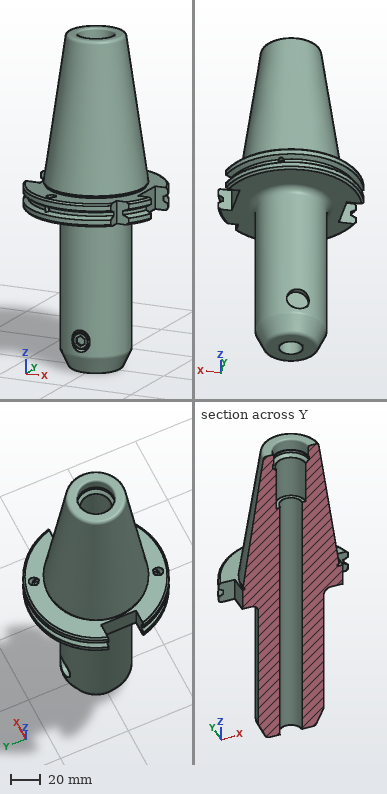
import cadquery as cq
import math


GAUGE_RADIUS = 69.85 / 2
TAPER_LENGTH = 101.75
TAPER_SLOPE = 7 / 24 / 2
TAPER_TOP_RADIUS = GAUGE_RADIUS - TAPER_LENGTH * TAPER_SLOPE
TAPER_TOP_FILLET = 2.5
TAPER_BOTTOM_Z = -1.3
NECK_RADIUS = GAUGE_RADIUS - 1.0

FLANGE_RADIUS = 97.5 / 2
FLANGE_TOP_Z = -3.2
FLANGE_BOTTOM_Z = -19.1
FLANGE_TOP_CHAMFER = 1.3
FLANGE_BOTTOM_CHAMFER = 1.5
GROOVE_Z = -11.1
GROOVE_FLOOR_RADIUS = 45.4
GROOVE_FLOOR_WIDTH = 2.5
GROOVE_FLANK_ANGLE = math.radians(30)

SLOT_WIDTH = 25.7
LEFT_SLOT_DISTANCE = 35.3
RIGHT_SLOT_DISTANCE = 37.7
NOTCH_DISTANCE = 29.7

NOSE_RADIUS = 24.0
NOSE_BOTTOM_Z = -130.0
NOSE_ROOT_FILLET = 5.0
NOSE_CONE_HEIGHT = 13.0
NOSE_CONE_TOP_Z = NOSE_BOTTOM_Z + NOSE_CONE_HEIGHT
NOSE_CONE_ANGLE = math.radians(25.5)
NOSE_TIP_RADIUS = NOSE_RADIUS - NOSE_CONE_HEIGHT * math.tan(NOSE_CONE_ANGLE)
NOSE_FILLET = 3.0

TOOL_BORE_RADIUS = 8.0
THREAD_RADIUS = 10.6
THREAD_DEPTH = 45.0
COUNTERBORE_RADIUS = 12.5
COUNTERBORE_DEPTH = 9.1
RELIEF_RADIUS = 13.0
RELIEF_BOTTOM_DEPTH = 11.4
MOUTH_FILLET = 1.4

SCREW_HEIGHT = 24.0
SCREW_Z = NOSE_BOTTOM_Z + SCREW_HEIGHT
SCREW_RADIUS = 6.0
SCREW_CHAMFER = 0.8
SCREW_FACE_DISTANCE = 23.8
SCREW_END_DISTANCE = 10.0
COUNTERSINK_RADIUS = 7.6
SCREW_HEX_WIDTH = 6.0
SCREW_HEX_DEPTH = 3.0
BALANCE_BORE_DEPTH = 4.0

PORT_PITCH_RADIUS = 41.7
PORT_ANGLES = (70.0, 250.0)
PORT_TILT = 30.0
PORT_RADIUS = 3.0
PORT_DEPTH = 3.0
CHANNEL_RADIUS = 1.5
CHANNEL_DEPTH = 8.0
CROSS_HOLE_RADIUS = 2.0
CROSS_HOLE_DEPTH = 3.0

AXIS_START = (0, 0, 0)
AXIS_END = (0, 1, 0)


def revolve(profile):
    """Close an (r, z) profile and turn it once around Z."""
    return profile.close().revolve(360, AXIS_START, AXIS_END)


def fillet_rim(solid, z, radius):
    """Round the circular edge that is centred on the axis at height z."""
    slab = 0.01
    rim = cq.selectors.BoxSelector((-slab, -slab, z - slab), (slab, slab, z + slab))
    return solid.edges(rim).fillet(radius)


def taper():
    base_radius = GAUGE_RADIUS - TAPER_BOTTOM_Z * TAPER_SLOPE
    profile = (
        cq.Workplane("XZ")
        .moveTo(0, TAPER_LENGTH)
        .lineTo(TAPER_TOP_RADIUS, TAPER_LENGTH)
        .lineTo(base_radius, TAPER_BOTTOM_Z)
        .lineTo(NECK_RADIUS, TAPER_BOTTOM_Z - (base_radius - NECK_RADIUS))
        .lineTo(NECK_RADIUS, GROOVE_Z)
        .lineTo(0, GROOVE_Z)
    )
    return fillet_rim(revolve(profile), TAPER_LENGTH, TAPER_TOP_FILLET)


def flange():
    floor_half = GROOVE_FLOOR_WIDTH / 2
    groove_depth = FLANGE_RADIUS - GROOVE_FLOOR_RADIUS
    mouth_half = floor_half + groove_depth * math.tan(GROOVE_FLANK_ANGLE)
    profile = (
        cq.Workplane("XZ")
        .moveTo(0, FLANGE_TOP_Z)
        .lineTo(FLANGE_RADIUS - FLANGE_TOP_CHAMFER, FLANGE_TOP_Z)
        .lineTo(FLANGE_RADIUS, FLANGE_TOP_Z - FLANGE_TOP_CHAMFER)
        .lineTo(FLANGE_RADIUS, GROOVE_Z + mouth_half)
        .lineTo(GROOVE_FLOOR_RADIUS, GROOVE_Z + floor_half)
        .lineTo(GROOVE_FLOOR_RADIUS, GROOVE_Z - floor_half)
        .lineTo(FLANGE_RADIUS, GROOVE_Z - mouth_half)
        .lineTo(FLANGE_RADIUS, FLANGE_BOTTOM_Z + FLANGE_BOTTOM_CHAMFER)
        .lineTo(FLANGE_RADIUS - FLANGE_BOTTOM_CHAMFER, FLANGE_BOTTOM_Z)
        .lineTo(0, FLANGE_BOTTOM_Z)
    )
    return revolve(profile)


def flange_cutouts():
    """Two driving slots on X and one corner notch towards +X, -Y."""
    height = FLANGE_TOP_Z - FLANGE_BOTTOM_Z
    reach = FLANGE_RADIUS

    def block(x_size, y_size, x_start, y_start):
        return cq.Workplane("XY").box(x_size, y_size, height, centered=False).translate(
            (x_start, y_start, FLANGE_BOTTOM_Z)
        )

    left_slot = block(reach, SLOT_WIDTH, -LEFT_SLOT_DISTANCE - reach, -SLOT_WIDTH / 2)
    right_slot = block(reach, SLOT_WIDTH, RIGHT_SLOT_DISTANCE, -SLOT_WIDTH / 2)
    notch = block(reach, reach, NOTCH_DISTANCE, -NOTCH_DISTANCE - reach)
    return left_slot.union(right_slot).union(notch)


def nose():
    profile = (
        cq.Workplane("XZ")
        .moveTo(0, FLANGE_BOTTOM_Z)
        .lineTo(NOSE_RADIUS + NOSE_ROOT_FILLET, FLANGE_BOTTOM_Z)
        .radiusArc((NOSE_RADIUS, FLANGE_BOTTOM_Z - NOSE_ROOT_FILLET), -NOSE_ROOT_FILLET)
        .lineTo(NOSE_RADIUS, NOSE_CONE_TOP_Z)
        .lineTo(NOSE_TIP_RADIUS, NOSE_BOTTOM_Z)
        .lineTo(0, NOSE_BOTTOM_Z)
    )
    solid = fillet_rim(revolve(profile), NOSE_CONE_TOP_Z, NOSE_FILLET)
    return fillet_rim(solid, NOSE_BOTTOM_Z, NOSE_FILLET)


def axial_bore():
    """Rounded mouth, counterbore, relief groove, 45 degree lead-in, thread bore and tool bore."""
    counterbore_z = TAPER_LENGTH - COUNTERBORE_DEPTH
    relief_bottom_z = TAPER_LENGTH - RELIEF_BOTTOM_DEPTH
    thread_z = TAPER_LENGTH - THREAD_DEPTH
    profile = (
        cq.Workplane("XZ")
        .moveTo(0, TAPER_LENGTH)
        .lineTo(COUNTERBORE_RADIUS + MOUTH_FILLET, TAPER_LENGTH)
        .radiusArc((COUNTERBORE_RADIUS, TAPER_LENGTH - MOUTH_FILLET), -MOUTH_FILLET)
        .lineTo(COUNTERBORE_RADIUS, counterbore_z)
        .lineTo(RELIEF_RADIUS, counterbore_z)
        .lineTo(RELIEF_RADIUS, relief_bottom_z)
        .lineTo(THREAD_RADIUS, relief_bottom_z - (RELIEF_RADIUS - THREAD_RADIUS))
        .lineTo(THREAD_RADIUS, thread_z)
        .lineTo(TOOL_BORE_RADIUS, thread_z)
        .lineTo(TOOL_BORE_RADIUS, NOSE_BOTTOM_Z)
        .lineTo(0, NOSE_BOTTOM_Z)
    )
    return revolve(profile)


def screw_countersink():
    """90 degree countersink that leaves a ring-shaped gap around the screw."""
    return cq.Workplane(
        cq.Solid.makeCone(
            COUNTERSINK_RADIUS,
            SCREW_RADIUS,
            COUNTERSINK_RADIUS - SCREW_RADIUS,
            cq.Vector(0, -NOSE_RADIUS, SCREW_Z),
            cq.Vector(0, 1, 0),
        )
    )


def screw_head():
    """Chamfered end of the clamping screw with its hexagon socket, a corner pointing up."""
    head_depth = SCREW_FACE_DISTANCE - SCREW_END_DISTANCE
    plane = cq.Plane(origin=(0, -SCREW_FACE_DISTANCE, SCREW_Z), xDir=(0, 0, 1), normal=(0, -1, 0))
    head = cq.Workplane(plane).circle(SCREW_RADIUS).extrude(-head_depth)
    head = head.faces("<Y").chamfer(SCREW_CHAMFER)
    corner_diameter = SCREW_HEX_WIDTH / math.cos(math.pi / 6)
    socket = cq.Workplane(plane).polygon(6, corner_diameter).extrude(-SCREW_HEX_DEPTH)
    return head.cut(socket)


def balance_bore():
    return cq.Workplane(
        cq.Solid.makeCylinder(
            COUNTERSINK_RADIUS,
            BALANCE_BORE_DEPTH,
            cq.Vector(0, NOSE_RADIUS - BALANCE_BORE_DEPTH, SCREW_Z),
            cq.Vector(0, 1, 0),
        )
    )


def coolant_port(angle):
    """Inclined stepped port in the flange face and a small radial hole in the groove floor."""
    tilt = math.radians(PORT_TILT)
    inward = cq.Vector(-math.sin(tilt), 0, -math.cos(tilt))
    mouth = cq.Vector(PORT_PITCH_RADIUS, 0, FLANGE_TOP_Z)
    run_out = PORT_RADIUS
    start = mouth - inward * run_out
    port = cq.Solid.makeCylinder(PORT_RADIUS, PORT_DEPTH + run_out, start, inward)
    channel = cq.Solid.makeCylinder(CHANNEL_RADIUS, CHANNEL_DEPTH, mouth, inward)
    cross_start = cq.Vector(GROOVE_FLOOR_RADIUS - CROSS_HOLE_DEPTH, 0, GROOVE_Z)
    cross_length = FLANGE_RADIUS - GROOVE_FLOOR_RADIUS + CROSS_HOLE_DEPTH
    cross_hole = cq.Solid.makeCylinder(CROSS_HOLE_RADIUS, cross_length, cross_start, cq.Vector(1, 0, 0))
    cutter = cq.Workplane(port).union(cq.Workplane(channel)).union(cq.Workplane(cross_hole))
    return cutter.rotate((0, 0, 0), (0, 0, 1), angle)


result = flange().cut(flange_cutouts()).union(taper()).union(nose()).cut(axial_bore())
result = result.cut(screw_countersink()).union(screw_head()).cut(balance_bore())
for port_angle in PORT_ANGLES:
    result = result.cut(coolant_port(port_angle))